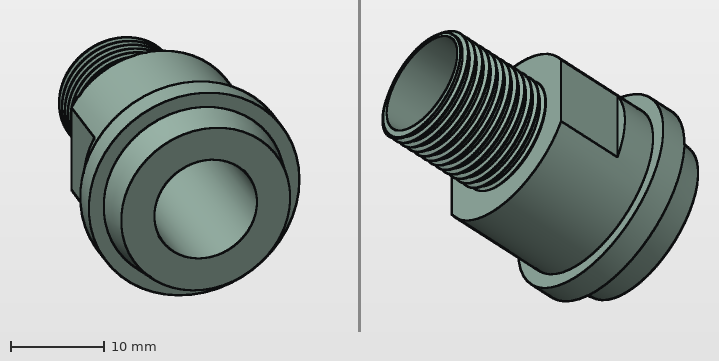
import cadquery as cq

thread_length = 12.0
body_length = 12.0
flange_width = 3.0
total_length = 31.0
flange_start = thread_length + body_length
flange_end = flange_start + flange_width

bore_diameter = 11.6
core_diameter = 12.4
thread_diameter = 13.45
body_diameter = 20.45
flange_diameter = 23.8
nose_end_diameter = 19.1

flat_spacing = 17.98
flat_length = 8.0

turns = 12
pitch = thread_length / turns
ridge_base_width = 0.65 * pitch
ridge_crest_width = 0.1 * pitch
root_overlap = 0.1


def cylinder(start, length, diameter):
    """Cylinder along X, beginning at the given station."""
    return cq.Workplane("YZ").workplane(offset=start).circle(diameter / 2).extrude(length)


def make_thread():
    """Right-hand ridge, trimmed flush at both ends of the threaded length."""
    core_radius = core_diameter / 2
    root_radius = core_radius - root_overlap
    crest_radius = thread_diameter / 2
    flank_slope = (ridge_base_width - ridge_crest_width) / (crest_radius - core_radius)
    root_width = ridge_base_width + flank_slope * root_overlap
    path = cq.Wire.makeHelix(pitch, (turns + 2) * pitch, core_radius)
    ridge = (
        cq.Workplane("XZ")
        .polyline([
            (root_radius, -root_width / 2),
            (crest_radius, -ridge_crest_width / 2),
            (crest_radius, ridge_crest_width / 2),
            (root_radius, root_width / 2),
        ])
        .close()
        .sweep(cq.Workplane(path), isFrenet=True)
        .translate((0, 0, -pitch))
        .rotate((0, 0, 0), (0, 1, 0), 90)
    )
    core = cylinder(-2 * pitch, thread_length + 4 * pitch, core_diameter)
    envelope = cylinder(0, thread_length, flange_diameter)
    return core.union(ridge).intersect(envelope)


def make_body():
    """Round body with two flats beside the thread shoulder."""
    body = cylinder(thread_length, body_length, body_diameter)
    flat_depth = (body_diameter - flat_spacing) / 2
    for side in (-1, 1):
        cutter = cq.Workplane("XY").box(flat_length, flat_depth, body_diameter).translate(
            (thread_length + flat_length / 2, side * (flat_spacing + flat_depth) / 2, 0)
        )
        body = body.cut(cutter)
    return body


def make_nose():
    """Taper from the body diameter at the flange to the plain end."""
    return (
        cq.Workplane("YZ")
        .workplane(offset=flange_end)
        .circle(body_diameter / 2)
        .workplane(offset=total_length - flange_end)
        .circle(nose_end_diameter / 2)
        .loft(ruled=True)
    )


flange = cylinder(flange_start, flange_width, flange_diameter)
bore = cylinder(0, total_length, bore_diameter)

result = make_body().union(flange).union(make_nose()).union(make_thread()).cut(bore)